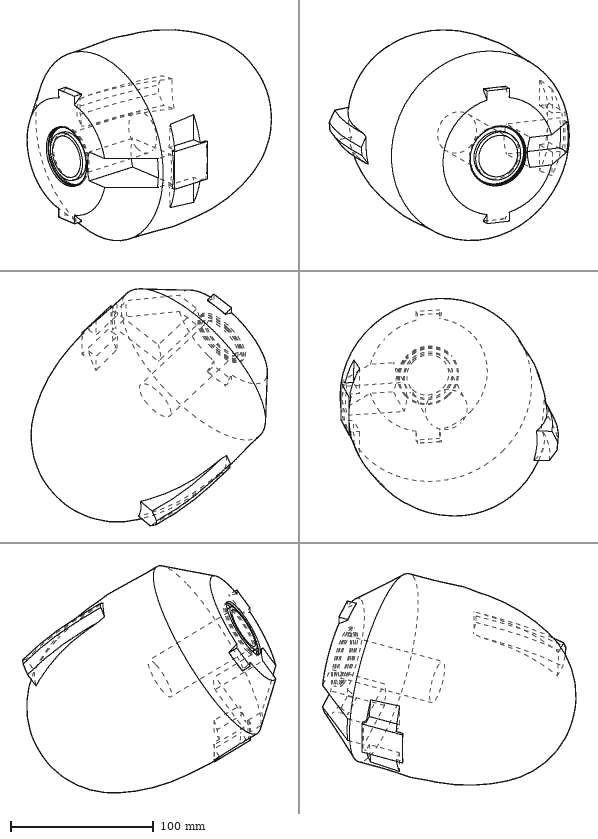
import cadquery as cq
import math

base_radius = 42.5
rim_radius = 137 / 2
belly_radius = 139.2 / 2
cone_top_y = 30.6
rim_top_y = 40.3
belly_y = 70.6
shoulder_y = 89.7
shoulder_radius = 68.05
nose_base_y = 136.7
nose_radius = 54.6
total_length = 170.71

key_width = 17.0
key_reach = 48.2
key_length = cone_top_y * (key_reach - base_radius) / (rim_radius - base_radius)

bore_diameter = 30.0
sleeve_diameter = 34.7
groove_diameter = 41.7
groove_mouth_diameter = 43.2
groove_mouth_depth = 1.5
groove_depth = 3.0
bore_depth = belly_y

slot_half_width = 10.9
slot_inner_x = 22.5
slot_inner_sagitta = 2.0
slot_outer_radius = 66.3
slot_depth = rim_top_y

pad_outer_x = belly_radius
pad_inner_x = 61.0
pad_half_width = 14.2
relief_top_y = 65.4
relief_pad_y = 42.6
relief_edge_y = 43.8

fin_tilt = 5.0
fin_crest_radius = 72.95
fin_crest_half_width = 3.0
fin_half_width = 11.0
fin_flank_angle = 31.0
fin_root_radius = 40.0
fin_start_y = 72.3
fin_bend_y = 90.8
fin_end_y = 142.2
fin_bend_radius = 204.0


def box_between(x_range, y_range, z_range):
    """Box given by its lower and upper limits along each axis."""
    sizes = [high - low for low, high in (x_range, y_range, z_range)]
    corner = (x_range[0], y_range[0], z_range[0])
    return cq.Workplane("XY").box(*sizes, centered=False).translate(corner)


def cylinder_from_base(diameter, depth):
    return cq.Workplane("XZ").circle(diameter / 2).extrude(-depth)


def make_body():
    nose_height = total_length - nose_base_y
    nose_sphere_radius = (nose_radius**2 + nose_height**2) / (2 * nose_height)
    half_nose_angle = math.asin(nose_radius / nose_sphere_radius) / 2
    nose_middle = (
        nose_sphere_radius * math.sin(half_nose_angle),
        total_length - nose_sphere_radius * (1 - math.cos(half_nose_angle)),
    )
    profile = (
        cq.Workplane("XY")
        .moveTo(0, 0)
        .lineTo(base_radius, 0)
        .lineTo(rim_radius, cone_top_y)
        .lineTo(rim_radius, rim_top_y)
        .lineTo(belly_radius, belly_y)
        .lineTo(shoulder_radius, shoulder_y)
        .tangentArcPoint((nose_radius, nose_base_y), relative=False)
        .threePointArc(nose_middle, (0, total_length))
        .close()
    )
    return profile.revolve(360, (0, 0, 0), (0, 1, 0))


def make_keys():
    half_width = key_width / 2
    return box_between((-half_width, half_width), (0, key_length), (-key_reach, key_reach))


def make_pad():
    return box_between((pad_inner_x, pad_outer_x), (rim_top_y, belly_y), (-pad_half_width, pad_half_width))


def make_relief(side):
    """Cut beside the pad; side is +1 above the pad and -1 below it."""
    edge_z = math.sqrt(belly_radius**2 - pad_inner_x**2)
    lower_slope = (relief_edge_y - relief_pad_y) / (edge_z - pad_half_width)
    far_z = belly_radius
    far_y = relief_pad_y + lower_slope * (far_z - pad_half_width)
    outline = [
        (relief_pad_y, side * pad_half_width),
        (relief_top_y, side * pad_half_width),
        (relief_top_y, side * far_z),
        (far_y, side * far_z),
    ]
    depth = belly_radius - pad_inner_x
    return cq.Workplane("YZ", origin=(pad_inner_x, 0, 0)).polyline(outline).close().extrude(depth)


def make_slot():
    inner_corner_x = slot_inner_x + slot_inner_sagitta
    outer_corner_x = math.sqrt(slot_outer_radius**2 - slot_half_width**2)
    return (
        cq.Workplane("XZ")
        .moveTo(inner_corner_x, -slot_half_width)
        .lineTo(outer_corner_x, -slot_half_width)
        .threePointArc((slot_outer_radius, 0), (outer_corner_x, slot_half_width))
        .lineTo(inner_corner_x, slot_half_width)
        .threePointArc((slot_inner_x, 0), (inner_corner_x, -slot_half_width))
        .close()
        .extrude(-slot_depth)
    )


def make_groove():
    mouth = cylinder_from_base(groove_mouth_diameter, groove_mouth_depth)
    groove = cylinder_from_base(groove_diameter, groove_depth)
    sleeve = cylinder_from_base(sleeve_diameter, groove_depth)
    return mouth.union(groove).cut(sleeve)


def fin_section():
    """Fin cross-section at the bend, flat crest towards -X."""
    flank_width = fin_half_width - fin_crest_half_width
    shoulder = fin_crest_radius - flank_width * math.tan(math.radians(fin_flank_angle))
    return (
        cq.Workplane("XZ", origin=(0, fin_bend_y, 0))
        .moveTo(-fin_root_radius, -fin_half_width)
        .lineTo(-shoulder, -fin_half_width)
        .lineTo(-fin_crest_radius, -fin_crest_half_width)
        .lineTo(-fin_crest_radius, fin_crest_half_width)
        .lineTo(-shoulder, fin_half_width)
        .lineTo(-fin_root_radius, fin_half_width)
        .close()
    )


def make_fin():
    straight = fin_section().extrude(fin_bend_y - fin_start_y)
    bend_centre_x = fin_bend_radius - fin_crest_radius
    inner_radius = bend_centre_x + fin_root_radius
    bend_angle = math.degrees(math.asin((fin_end_y - fin_bend_y) / inner_radius))
    bent = fin_section().revolve(bend_angle, (bend_centre_x, 0, 0), (bend_centre_x, -1, 0))
    limits = box_between(
        (-fin_crest_radius, 0),
        (fin_start_y, fin_end_y),
        (-fin_half_width, fin_half_width),
    )
    fin = straight.union(bent).intersect(limits)
    return fin.rotate((0, 0, 0), (0, 1, 0), -fin_tilt)


result = make_body()
for side in (1, -1):
    result = result.cut(make_relief(side))
result = result.union(make_keys()).union(make_pad()).union(make_fin())
result = result.cut(make_slot()).cut(make_groove())
result = result.cut(cylinder_from_base(bore_diameter, bore_depth))